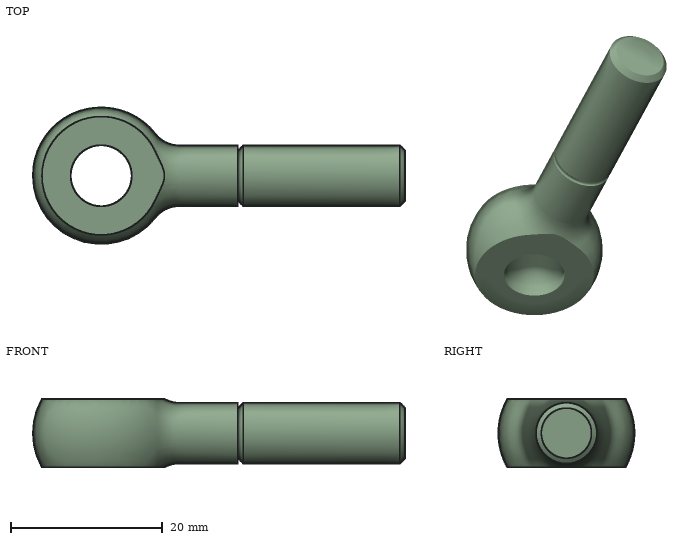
import cadquery as cq
import math

ball_radius = 9.0
head_thickness = 9.0
hole_diameter = 8.0

shank_radius = 4.0
bolt_length = 40.0
thread_length = 22.0
thread_depth = 0.7
neck_fillet_radius = 4.0

thread_start = bolt_length - thread_length
root_radius = shank_radius - thread_depth

neck_center_radius = shank_radius + neck_fillet_radius
neck_center_distance = ball_radius + neck_fillet_radius
neck_end_x = math.sqrt(neck_center_distance**2 - neck_center_radius**2)
ball_share = ball_radius / neck_center_distance
neck_start = (neck_end_x * ball_share, neck_center_radius * ball_share)
neck_end = (neck_end_x, shank_radius)

start_angle = math.atan2(-neck_center_radius, -neck_end_x)
end_angle = -math.pi / 2
middle_angle = (start_angle + end_angle) / 2
neck_middle = (
    neck_end_x + neck_fillet_radius * math.cos(middle_angle),
    neck_center_radius + neck_fillet_radius * math.sin(middle_angle),
)


def make_turned_body():
    """Ball, neck and shank as one revolution about the X axis."""
    profile = (
        cq.Workplane("XY")
        .moveTo(-ball_radius, 0)
        .threePointArc((0, ball_radius), neck_start)
        .threePointArc(neck_middle, neck_end)
        .lineTo(thread_start, shank_radius)
        .lineTo(thread_start, root_radius)
        .lineTo(thread_start + thread_depth, shank_radius)
        .lineTo(bolt_length - thread_depth, shank_radius)
        .lineTo(bolt_length, root_radius)
        .lineTo(bolt_length, 0)
        .close()
    )
    return profile.revolve(360, (0, 0, 0), (1, 0, 0))


def flatten_head(body):
    """Keep only the slab between the two parallel head faces."""
    total_length = ball_radius + bolt_length
    slab = (
        cq.Workplane("XY")
        .box(total_length, 2 * ball_radius, head_thickness)
        .translate((total_length / 2 - ball_radius, 0, 0))
    )
    return body.intersect(slab)


def cut_eye_hole(body):
    """Through hole along Z at the ball centre."""
    hole = (
        cq.Workplane("XY")
        .workplane(offset=-head_thickness / 2)
        .circle(hole_diameter / 2)
        .extrude(head_thickness)
    )
    return body.cut(hole)


result = cut_eye_hole(flatten_head(make_turned_body()))